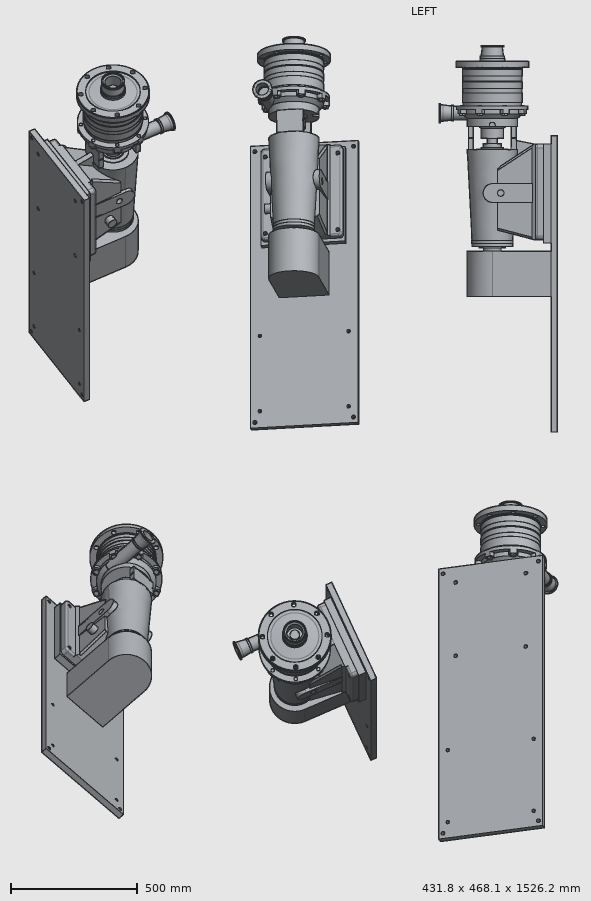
import cadquery as cq
import math


TOTAL_HEIGHT = 1526.2
PLATE_WIDTH = 431.8
PLATE_LENGTH = 1171.0
PLATE_THICKNESS = 25.4
OUTLET_FACE_Y = 210.6
TOTAL_DEPTH = 468.15
PLATE_BACK_Y = OUTLET_FACE_Y - TOTAL_DEPTH
PLATE_FRONT_Y = PLATE_BACK_Y + PLATE_THICKNESS

CORNER_INSET_X = 18.0
CORNER_INSET_Z = 23.0
HOLE_DIAMETER = 15.0
MOTOR_HOLE_DIAMETER = 13.0
FRAME_HOLE_HALF_X = 145.5
FRAME_HOLE_Z = (1103.0, 785.0)
MOTOR_HOLE_HALF_X = 178.0
MOTOR_HOLE_Z = (381.0, 69.0)

FERRULE_RADIUS = 45.5
FERRULE_THICKNESS = 5.0
INLET_NECK_RADIUS = 40.5
INLET_ROOT_RADIUS = 45.0
INLET_COLLAR_RADIUS = 49.5
INLET_BORE_RADIUS = 32.0
INLET_MOUTH_RADIUS = 40.0
INLET_MOUTH_DEPTH = 8.0
INLET_NUT_RADIUS = 19.0
INLET_NUT_HEIGHT = 15.0
COLLAR_TOP_Z = TOTAL_HEIGHT - 41.0
COLLAR_RELIEF_DEPTH = 9.0
COLLAR_RELIEF_STEP = 1.0
UPPER_FLANGE_TOP_Z = TOTAL_HEIGHT - 60.0
UPPER_FLANGE_THICKNESS = 26.0
UPPER_FLANGE_RADIUS = 144.5
UPPER_FLANGE_CHAMFER = 3.0
COVER_RECESS_RADIUS = 108.0
COVER_RIM_RADIUS = 95.0
COVER_RECESS_DEPTH = 5.0
BARREL_RADIUS = 118.5
BARREL_BAND_STEP = 1.0
BARREL_BAND_DROPS = ((34.0, 53.5), (82.5, 100.0))
BARREL_GROOVE_DROP = 53.5
BARREL_GROOVE_WIDTH = 4.0
BARREL_GROOVE_DEPTH = 2.0
BARREL_NECK_DROP = 4.0
BARREL_NECK_WIDTH = 4.0
BARREL_FOOT_RADIUS = 116.0
BARREL_FOOT_HEIGHT = 14.0
LOWER_FLANGE_TOP_Z = TOTAL_HEIGHT - 237.5
LOWER_FLANGE_THICKNESS = 14.0
LOWER_FLANGE_RADIUS = 141.0
CASING_RADIUS = 118.0
CASING_HEIGHT = 19.0
CONE_HEIGHT = 17.0
HUB_RADIUS = 100.0
HUB_BOTTOM_Z = TOTAL_HEIGHT - 319.5

BOLT_COUNT = 8
BOLT_CIRCLE_RADIUS = 128.0
BOLT_HOLE_DIAMETER = 18.0
BOLT_PAD_RADIUS = 18.0
BOLT_PAD_HEIGHT = 17.0
NUT_ACROSS_CORNERS = 24.0
NUT_HEIGHT = 7.0
STUD_DIAMETER = 14.0
STUD_RISE = 2.0

OUTLET_X = 89.5
OUTLET_Z = TOTAL_HEIGHT - 266.0
OUTLET_TUBE_RADIUS = 27.5
OUTLET_REDUCER_RADIUS = 33.0
OUTLET_FERRULE_RADIUS = 38.7
OUTLET_BORE_RADIUS = 25.0
OUTLET_RING_RADIUS = 31.0
OUTLET_RING_LENGTH = 8.0
OUTLET_NECK_LENGTH = 49.0
OUTLET_CAP_LENGTH = 15.0
WEEP_RADIUS = 12.0
WEEP_RISE = 5.0
WEEP_DEPTH = 25.0

SEAL_RADIUS = 45.0
SEAL_LIP_RADIUS = 53.0
SEAL_LIP_HEIGHT = 7.0
SEAL_BOTTOM_Z = TOTAL_HEIGHT - 366.0
SHAFT_RADIUS = 20.5
SLINGER_RADIUS = 36.0
SLINGER_TOP_Z = TOTAL_HEIGHT - 387.0
END_COVER_RADIUS = 44.0
END_COVER_HEIGHT = 9.0
END_PLATE_RADIUS = 62.0
END_PLATE_HEIGHT = 3.0
STRUT_WIDTH = 106.0
STRUT_OUTER_Y = 95.0
STRUT_INNER_Y = 74.5
STRUT_JOINT_Z = TOTAL_HEIGHT - 364.0
STRUT_JOINT_GAP = 4.0
STRUT_JOINT_DEPTH = 2.0
FRAME_TOP_Z = TOTAL_HEIGHT - 411.0
FRAME_TOP_RADIUS = 100.0
FRAME_BOTTOM_RADIUS = 81.0
FRAME_COLLAR_RADIUS = 82.0
FRAME_COLLAR_HEIGHT = 24.0
FRAME_COLLAR_STEP = 1.0
FRAME_BOTTOM_Z = TOTAL_HEIGHT - 794.0
REAR_COVER_RADIUS = 52.0
REAR_COVER_HEIGHT = 5.0
REAR_SHAFT_RADIUS = 35.0

PEDESTAL_INNER_HALF_WIDTH = 98.0
PEDESTAL_FLARE_START_Y = -156.0
PEDESTAL_FLARE_START_HALF_WIDTH = 106.5
PEDESTAL_FLARE_END_HALF_WIDTH = 115.0
PEDESTAL_EDGE_CHAMFER = 8.0
PEDESTAL_INNER_Y = -21.0
PEDESTAL_FOOT_Y = -166.0
PEDESTAL_INNER_TOP_Z = TOTAL_HEIGHT - 483.0
PEDESTAL_INNER_BOTTOM_Z = TOTAL_HEIGHT - 729.0
FOOT_TOP_Z = TOTAL_HEIGHT - 388.0
FOOT_BOTTOM_Z = TOTAL_HEIGHT - 767.0
FOOT_HALF_WIDTH = 164.0
FOOT_FRONT_Y = -170.0
FOOT_BACK_Y = -201.5
FOOT_CORNER_RADIUS = 16.0
FOOT_EDGE_FILLET = 9.0
RISER_HALF_WIDTH = 168.5
RISER_BOTTOM_Z = TOTAL_HEIGHT - 780.0
RIB_WIDTH = 23.0
RIB_TIP_Z = TOTAL_HEIGHT - 374.0
LUG_HALF_WIDTH = 108.0
LUG_Z = TOTAL_HEIGHT - 582.0
LUG_RADIUS = 37.0
LUG_TIP_Y = 36.0
LUG_HOLE_Y = -33.0
LUG_HOLE_DIAMETER = 26.0
LUG_HOLE_DEPTH = 20.0
GAUGE_Y = -77.0
GAUGE_Z = TOTAL_HEIGHT - 670.0
GAUGE_RADIUS = 19.5
GAUGE_END_X = 129.0

GUARD_RADIUS = 100.0
GUARD_TOP_Z = TOTAL_HEIGHT - 812.0
GUARD_BOTTOM_Z = TOTAL_HEIGHT - 991.0


def box(x_range, y_range, z_range):
    """Box between the given limits."""
    sizes = [high - low for low, high in (x_range, y_range, z_range)]
    corner = (x_range[0], y_range[0], z_range[0])
    return cq.Workplane("XY").box(*sizes, centered=False).translate(corner)


def disc(radius, z_low, z_high):
    """Cylinder on the pump axis."""
    return cq.Workplane("XY").workplane(offset=z_low).circle(radius).extrude(z_high - z_low)


def y_cylinder(x, z, radius, y_low, y_high):
    """Cylinder parallel to Y."""
    plane = cq.Plane(origin=(x, y_low, z), xDir=(1, 0, 0), normal=(0, 1, 0))
    return cq.Workplane(plane).circle(radius).extrude(y_high - y_low)


def cone(bottom_radius, top_radius, z_low, z_high):
    """Truncated cone on the pump axis."""
    profile = [(0, z_low), (bottom_radius, z_low), (top_radius, z_high), (0, z_high)]
    return cq.Workplane("XZ").polyline(profile).close().revolve(360, (0, 0, 0), (0, 1, 0))


def ring_groove(radius, depth, z_top, width):
    """Ring to cut from a cylinder of the given radius."""
    return disc(radius + 1, z_top - width, z_top).cut(disc(radius - depth, z_top - width, z_top))


def bolt_points():
    """Bolt centres, with no bolt on the X or Y axis."""
    step = 2 * math.pi / BOLT_COUNT
    angles = [(i + 0.5) * step for i in range(BOLT_COUNT)]
    return [(BOLT_CIRCLE_RADIUS * math.cos(a), BOLT_CIRCLE_RADIUS * math.sin(a)) for a in angles]


def base_plate():
    """Drilled plate with the raised riser that carries the pump foot."""
    plate = box((-PLATE_WIDTH / 2, PLATE_WIDTH / 2), (PLATE_BACK_Y, PLATE_FRONT_Y), (0, PLATE_LENGTH))
    riser = box(
        (-RISER_HALF_WIDTH, RISER_HALF_WIDTH), (PLATE_FRONT_Y, FOOT_BACK_Y), (RISER_BOTTOM_Z, FOOT_TOP_Z)
    )
    plate = plate.union(riser)
    corner_x = PLATE_WIDTH / 2 - CORNER_INSET_X
    patterns = [
        (corner_x, (PLATE_LENGTH - CORNER_INSET_Z, CORNER_INSET_Z), HOLE_DIAMETER),
        (FRAME_HOLE_HALF_X, FRAME_HOLE_Z, HOLE_DIAMETER),
        (MOTOR_HOLE_HALF_X, MOTOR_HOLE_Z, MOTOR_HOLE_DIAMETER),
    ]
    for half_x, heights, diameter in patterns:
        for x in (-half_x, half_x):
            for z in heights:
                plate = plate.cut(y_cylinder(x, z, diameter / 2, PLATE_BACK_Y, FOOT_BACK_Y))
    return plate


def coupling_guard():
    """Upright block with a half-round front, standing on the base plate."""
    return (
        cq.Workplane("XY")
        .workplane(offset=GUARD_BOTTOM_Z)
        .moveTo(-GUARD_RADIUS, PLATE_FRONT_Y)
        .lineTo(GUARD_RADIUS, PLATE_FRONT_Y)
        .lineTo(GUARD_RADIUS, 0)
        .threePointArc((0, GUARD_RADIUS), (-GUARD_RADIUS, 0))
        .close()
        .extrude(GUARD_TOP_Z - GUARD_BOTTOM_Z)
    )


def inlet():
    """Conical inlet with a clamp ferrule, standing on the cover."""
    ferrule_bottom = TOTAL_HEIGHT - FERRULE_THICKNESS
    body = disc(FERRULE_RADIUS, ferrule_bottom, TOTAL_HEIGHT)
    body = body.union(cone(INLET_ROOT_RADIUS, INLET_NECK_RADIUS, COLLAR_TOP_Z, ferrule_bottom))
    body = body.union(disc(INLET_COLLAR_RADIUS, UPPER_FLANGE_TOP_Z - COVER_RECESS_DEPTH, COLLAR_TOP_Z))
    return body.cut(ring_groove(INLET_COLLAR_RADIUS, COLLAR_RELIEF_STEP, COLLAR_TOP_Z, COLLAR_RELIEF_DEPTH))


def upper_flange():
    """Bolted cover flange with a shallow recess and a low cone rising to the inlet."""
    bottom = UPPER_FLANGE_TOP_Z - UPPER_FLANGE_THICKNESS
    flange = disc(UPPER_FLANGE_RADIUS, bottom, UPPER_FLANGE_TOP_Z)
    flange = flange.faces(">Z").chamfer(UPPER_FLANGE_CHAMFER)
    recess_floor = UPPER_FLANGE_TOP_Z - COVER_RECESS_DEPTH
    flange = flange.cut(disc(COVER_RECESS_RADIUS, recess_floor, UPPER_FLANGE_TOP_Z))
    flange = flange.union(cone(COVER_RIM_RADIUS, INLET_COLLAR_RADIUS, recess_floor, UPPER_FLANGE_TOP_Z))
    holes = cq.Workplane("XY").workplane(offset=bottom).pushPoints(bolt_points())
    return flange.cut(holes.circle(BOLT_HOLE_DIAMETER / 2).extrude(UPPER_FLANGE_THICKNESS))


def stage_barrel():
    """Ribbed barrel between the two flanges."""
    top = UPPER_FLANGE_TOP_Z - UPPER_FLANGE_THICKNESS
    barrel = disc(BARREL_RADIUS, LOWER_FLANGE_TOP_Z, top)
    for band_top, band_bottom in BARREL_BAND_DROPS:
        band = ring_groove(BARREL_RADIUS, BARREL_BAND_STEP, top - band_top, band_bottom - band_top)
        barrel = barrel.cut(band)
    for drop, width in ((BARREL_GROOVE_DROP, BARREL_GROOVE_WIDTH), (BARREL_NECK_DROP, BARREL_NECK_WIDTH)):
        barrel = barrel.cut(ring_groove(BARREL_RADIUS, BARREL_GROOVE_DEPTH, top - drop, width))
    foot_top = LOWER_FLANGE_TOP_Z + BARREL_FOOT_HEIGHT
    foot_step = BARREL_RADIUS - BARREL_FOOT_RADIUS
    return barrel.cut(ring_groove(BARREL_RADIUS, foot_step, foot_top, BARREL_FOOT_HEIGHT))


def casing():
    """Lower flange with its nuts, the casing below it and the hub."""
    flange_bottom = LOWER_FLANGE_TOP_Z - LOWER_FLANGE_THICKNESS
    casing_bottom = flange_bottom - CASING_HEIGHT
    cone_bottom = casing_bottom - CONE_HEIGHT
    body = disc(LOWER_FLANGE_RADIUS, flange_bottom, LOWER_FLANGE_TOP_Z)
    body = body.union(disc(CASING_RADIUS, casing_bottom, flange_bottom))
    body = body.union(cone(HUB_RADIUS, CASING_RADIUS, cone_bottom, casing_bottom))
    body = body.union(disc(HUB_RADIUS, HUB_BOTTOM_Z, cone_bottom))
    pad_bottom = flange_bottom - BOLT_PAD_HEIGHT
    pads = cq.Workplane("XY").workplane(offset=pad_bottom).pushPoints(bolt_points())
    pad_limit = disc(LOWER_FLANGE_RADIUS, pad_bottom, flange_bottom)
    body = body.union(pads.circle(BOLT_PAD_RADIUS).extrude(BOLT_PAD_HEIGHT).intersect(pad_limit))
    body = body.union(pads.polygon(6, NUT_ACROSS_CORNERS).extrude(-NUT_HEIGHT))
    stud_ends = cq.Workplane("XY").workplane(offset=LOWER_FLANGE_TOP_Z).pushPoints(bolt_points())
    body = body.union(stud_ends.circle(STUD_DIAMETER / 2).extrude(STUD_RISE))
    weep_centre = (-HUB_RADIUS, 0, HUB_BOTTOM_Z + WEEP_RISE)
    weep_plane = cq.Plane(origin=weep_centre, xDir=(0, 1, 0), normal=(1, 0, 0))
    return body.cut(cq.Workplane(weep_plane).circle(WEEP_RADIUS).extrude(WEEP_DEPTH))


def outlet():
    """Tangential outlet pipe, flaring to a clamp ferrule."""
    cap_y = OUTLET_FACE_Y - OUTLET_CAP_LENGTH
    ferrule_y = OUTLET_FACE_Y - FERRULE_THICKNESS
    ring_y = OUTLET_FACE_Y - OUTLET_NECK_LENGTH - OUTLET_RING_LENGTH
    pipe = y_cylinder(OUTLET_X, OUTLET_Z, OUTLET_TUBE_RADIUS, 0, cap_y)
    neck_y = ring_y + OUTLET_RING_LENGTH
    pipe = pipe.union(y_cylinder(OUTLET_X, OUTLET_Z, OUTLET_RING_RADIUS, ring_y, neck_y))
    flare = (
        cq.Workplane(cq.Plane(origin=(OUTLET_X, ring_y, OUTLET_Z), xDir=(1, 0, 0), normal=(0, 1, 0)))
        .circle(OUTLET_TUBE_RADIUS)
        .workplane(offset=cap_y - ring_y)
        .circle(OUTLET_REDUCER_RADIUS)
        .loft()
    )
    pipe = pipe.union(flare)
    pipe = pipe.union(y_cylinder(OUTLET_X, OUTLET_Z, OUTLET_REDUCER_RADIUS, cap_y, ferrule_y))
    return pipe.union(y_cylinder(OUTLET_X, OUTLET_Z, OUTLET_FERRULE_RADIUS, ferrule_y, OUTLET_FACE_Y))


def shaft():
    """Seal housing, shaft and bearing covers on the pump axis."""
    body = cone(SEAL_RADIUS, SEAL_LIP_RADIUS, HUB_BOTTOM_Z - SEAL_LIP_HEIGHT, HUB_BOTTOM_Z)
    body = body.union(disc(SEAL_RADIUS, SEAL_BOTTOM_Z, HUB_BOTTOM_Z))
    body = body.union(disc(SHAFT_RADIUS, FRAME_TOP_Z, SEAL_BOTTOM_Z))
    body = body.union(disc(SLINGER_RADIUS, FRAME_TOP_Z, SLINGER_TOP_Z))
    body = body.union(disc(END_COVER_RADIUS, FRAME_TOP_Z, FRAME_TOP_Z + END_COVER_HEIGHT))
    body = body.union(disc(END_PLATE_RADIUS, FRAME_TOP_Z, FRAME_TOP_Z + END_PLATE_HEIGHT))
    body = body.union(disc(REAR_COVER_RADIUS, FRAME_BOTTOM_Z - REAR_COVER_HEIGHT, FRAME_BOTTOM_Z))
    return body.union(disc(REAR_SHAFT_RADIUS, GUARD_TOP_Z, FRAME_BOTTOM_Z))


def struts():
    """Two flat bars from the hub to the bearing frame, each with a joint groove on its side edges."""
    bar_y = (STRUT_INNER_Y, STRUT_OUTER_Y)
    bar = box((-STRUT_WIDTH / 2, STRUT_WIDTH / 2), bar_y, (FRAME_TOP_Z, HUB_BOTTOM_Z))
    joint_z = (STRUT_JOINT_Z - STRUT_JOINT_GAP / 2, STRUT_JOINT_Z + STRUT_JOINT_GAP / 2)
    groove_inner_x = STRUT_WIDTH / 2 - STRUT_JOINT_DEPTH
    groove = box((groove_inner_x, STRUT_WIDTH / 2), bar_y, joint_z)
    bar = bar.cut(groove).cut(groove.mirror("YZ"))
    return bar.union(bar.mirror("XZ"))


def bearing_barrel():
    """Tapered bearing barrel with a stepped collar at its lower end."""
    collar_top = FRAME_BOTTOM_Z + FRAME_COLLAR_HEIGHT
    barrel = cone(FRAME_BOTTOM_RADIUS, FRAME_TOP_RADIUS, collar_top, FRAME_TOP_Z)
    barrel = barrel.union(disc(FRAME_COLLAR_RADIUS, FRAME_BOTTOM_Z, collar_top))
    half = FRAME_COLLAR_HEIGHT / 2
    return barrel.cut(ring_groove(FRAME_COLLAR_RADIUS, FRAME_COLLAR_STEP, collar_top - half, half))


def pedestal_plan(half_plan):
    """Prism as tall as the foot, from the +X half of a plan outline that is symmetric about X = 0."""
    mirrored = [(-x, y) for x, y in reversed(half_plan)]
    outline = cq.Workplane("XY").workplane(offset=FOOT_BOTTOM_Z).polyline(half_plan + mirrored).close()
    return outline.extrude(FOOT_TOP_Z - FOOT_BOTTOM_Z)


def pedestal():
    """Sloping pedestal, centre rib, and foot behind the bearing barrel."""
    pedestal_outline = [
        (PEDESTAL_INNER_Y, PEDESTAL_INNER_TOP_Z),
        (PEDESTAL_FOOT_Y, FOOT_TOP_Z),
        (FOOT_BACK_Y, FOOT_TOP_Z),
        (FOOT_BACK_Y, FOOT_BOTTOM_Z),
        (PEDESTAL_FOOT_Y, FOOT_BOTTOM_Z),
        (PEDESTAL_INNER_Y, PEDESTAL_INNER_BOTTOM_Z),
    ]
    rib_outline = [
        (0, PEDESTAL_INNER_TOP_Z),
        (-STRUT_OUTER_Y, RIB_TIP_Z),
        (PEDESTAL_FOOT_Y, FOOT_TOP_Z),
        (PEDESTAL_FOOT_Y, PEDESTAL_INNER_TOP_Z),
    ]
    blank = cq.Workplane("YZ").polyline(pedestal_outline).close().extrude(FOOT_HALF_WIDTH, both=True)
    web = blank.intersect(
        pedestal_plan([
            (PEDESTAL_INNER_HALF_WIDTH, PEDESTAL_INNER_Y),
            (PEDESTAL_FLARE_START_HALF_WIDTH, PEDESTAL_FOOT_Y),
        ])
    )
    middle_y = (PEDESTAL_INNER_Y + PEDESTAL_FOOT_Y) / 2
    for inner_z, foot_z in ((PEDESTAL_INNER_TOP_Z, FOOT_TOP_Z), (PEDESTAL_INNER_BOTTOM_Z, FOOT_BOTTOM_Z)):
        slope = cq.NearestToPointSelector((0, middle_y, (inner_z + foot_z) / 2))
        web = web.faces(slope).edges("not |X").chamfer(PEDESTAL_EDGE_CHAMFER)
    flare = blank.intersect(
        pedestal_plan([
            (PEDESTAL_FLARE_START_HALF_WIDTH, PEDESTAL_FLARE_START_Y),
            (PEDESTAL_FLARE_END_HALF_WIDTH, FOOT_FRONT_Y),
            (PEDESTAL_FLARE_END_HALF_WIDTH, FOOT_BACK_Y),
        ])
    )
    rib = cq.Workplane("YZ").polyline(rib_outline).close().extrude(RIB_WIDTH / 2, both=True)
    rib = rib.cut(disc(STRUT_INNER_Y, FRAME_TOP_Z, HUB_BOTTOM_Z))
    foot = box((-FOOT_HALF_WIDTH, FOOT_HALF_WIDTH), (FOOT_BACK_Y, FOOT_FRONT_Y), (FOOT_BOTTOM_Z, FOOT_TOP_Z))
    foot = foot.edges("|Y").fillet(FOOT_CORNER_RADIUS).faces(">Y").edges().fillet(FOOT_EDGE_FILLET)
    for x in (-FRAME_HOLE_HALF_X, FRAME_HOLE_HALF_X):
        for z in FRAME_HOLE_Z:
            foot = foot.cut(y_cylinder(x, z, HOLE_DIAMETER / 2, FOOT_BACK_Y, FOOT_FRONT_Y))
    return web.union(flare).union(rib).union(foot)


def side_lugs():
    """Flat round-nosed pad on each flank of the pedestal."""
    return (
        cq.Workplane("YZ")
        .moveTo(FOOT_FRONT_Y, LUG_Z - LUG_RADIUS)
        .lineTo(LUG_TIP_Y - LUG_RADIUS, LUG_Z - LUG_RADIUS)
        .threePointArc((LUG_TIP_Y, LUG_Z), (LUG_TIP_Y - LUG_RADIUS, LUG_Z + LUG_RADIUS))
        .lineTo(FOOT_FRONT_Y, LUG_Z + LUG_RADIUS)
        .close()
        .extrude(LUG_HALF_WIDTH, both=True)
    )


def lug_hole(side):
    """Blind hole in the lug on the +X (side = 1) or -X (side = -1) flank."""
    face_x = side * LUG_HALF_WIDTH
    start = cq.Workplane("YZ").workplane(offset=face_x).center(LUG_HOLE_Y, LUG_Z)
    return start.circle(LUG_HOLE_DIAMETER / 2).extrude(-side * LUG_HOLE_DEPTH)


def oil_gauge():
    """Round boss on the +X flank of the pedestal."""
    return cq.Workplane("YZ").center(GAUGE_Y, GAUGE_Z).circle(GAUGE_RADIUS).extrude(GAUGE_END_X)


def pump():
    """Pump, bearing frame and pedestal as one body."""
    body = inlet().union(upper_flange()).union(stage_barrel()).union(casing())
    body = body.union(outlet()).union(shaft()).union(struts())
    body = body.union(bearing_barrel()).union(pedestal()).union(side_lugs()).union(oil_gauge())
    bore_floor = UPPER_FLANGE_TOP_Z
    body = body.cut(disc(INLET_BORE_RADIUS, bore_floor, TOTAL_HEIGHT))
    mouth_bottom = TOTAL_HEIGHT - INLET_MOUTH_DEPTH
    body = body.cut(cone(INLET_BORE_RADIUS, INLET_MOUTH_RADIUS, mouth_bottom, TOTAL_HEIGHT))
    body = body.union(disc(INLET_NUT_RADIUS, bore_floor, bore_floor + INLET_NUT_HEIGHT))
    outlet_bore_start = OUTLET_FACE_Y - OUTLET_NECK_LENGTH - OUTLET_RING_LENGTH
    body = body.cut(y_cylinder(OUTLET_X, OUTLET_Z, OUTLET_BORE_RADIUS, outlet_bore_start, OUTLET_FACE_Y))
    return body.cut(lug_hole(1)).cut(lug_hole(-1))


result = cq.Compound.makeCompound([base_plate().val(), coupling_guard().val(), *pump().vals()])